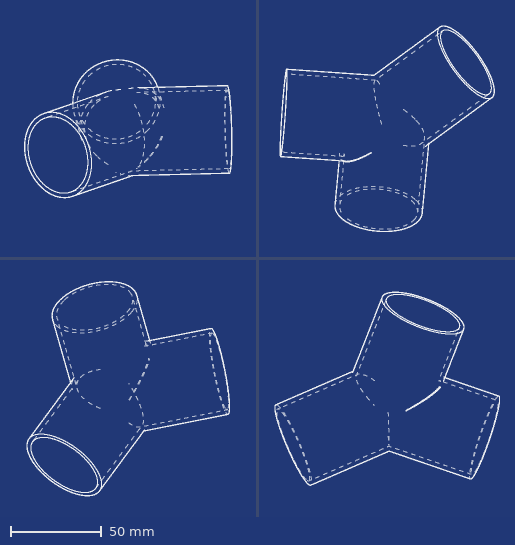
import cadquery as cq
import math

outer_diameter = 48.3
bore_diameter = 43.1
leg_length = 57.0
branch_angle = 45.0

seam_fillet = 0.5
crotch_fillet = 3.2

stem_direction = -90.0
right_direction = 90.0 - branch_angle
left_direction = 90.0 + branch_angle
directions = [stem_direction, right_direction, left_direction]


def sector(start, end):
    """Tall wedge from the origin between two angles; its sides are the mitre planes."""
    reach = 4 * leg_length
    middle = (start + end) / 2
    corners = [(0, 0)]
    for angle in (start, middle, end):
        radians = math.radians(angle)
        corners.append((reach * math.cos(radians), reach * math.sin(radians)))
    wedge = cq.Workplane("XY").polyline(corners).close()
    return wedge.extrude(outer_diameter, both=True)


def mitred_rod(diameter, index):
    """Solid rod along one tube axis, trimmed halfway to each neighbouring tube."""
    direction = directions[index]
    to_next = (directions[(index + 1) % len(directions)] - direction) % 360
    to_previous = (direction - directions[index - 1]) % 360
    rod = (
        cq.Workplane("YZ")
        .circle(diameter / 2)
        .extrude(leg_length, both=True)
        .rotate((0, 0, 0), (0, 0, 1), direction)
    )
    return rod.intersect(sector(direction - to_previous / 2, direction + to_next / 2))


def mitred_junction(diameter):
    """Three mitred rods joined into one Y."""
    junction = mitred_rod(diameter, 0)
    for index in range(1, len(directions)):
        junction = junction.union(mitred_rod(diameter, index))
    return junction


def tube_body():
    """Solid outside of the fitting with its seams softened."""
    return mitred_junction(outer_diameter).edges("%ELLIPSE").fillet(seam_fillet)


def bore():
    """Hollow of the fitting, rounded where the two branch bores part."""
    junction = mitred_junction(bore_diameter)
    return junction.edges("%ELLIPSE").edges(">Y").fillet(crotch_fillet)


result = tube_body().cut(bore())